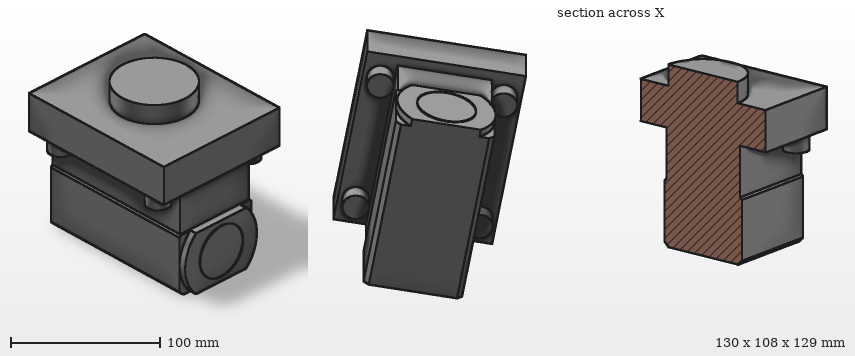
import cadquery as cq

plate_length = 130.0
plate_width = 108.0
plate_thickness = 30.0
plate_bottom = 84.0
plate_top = plate_bottom + plate_thickness
plate_left = -plate_length / 2

boss_diameter = 60.0
boss_height = 15.0

pin_diameter = 18.0
pin_length = 12.0
pin_spacing_x = 94.0
pin_spacing_y = 84.0

body_length = 124.0
body_width = 67.0
body_height = 48.0
top_chamfer = 1.5
bottom_chamfer = 3.5

neck_length = 123.0
neck_width = body_width - 2 * top_chamfer

cap_diameter = body_width
cap_thickness = 5.4
cap_face_diameter = 40.0
cap_face_thickness = plate_length - body_length - cap_thickness


def make_block(length, width, height, bottom):
    """Box flush with the left end of the plate and centred in Y."""
    block = cq.Workplane("XY").box(length, width, height, centered=(False, True, False))
    return block.translate((plate_left, 0, bottom))


def make_body():
    body = make_block(body_length, body_width, body_height, 0)
    body = body.faces(">Z").edges("|X").chamfer(top_chamfer)
    return body.faces("<Z").edges("|X").chamfer(bottom_chamfer)


def make_neck():
    return make_block(neck_length, neck_width, plate_bottom - body_height, body_height)


def make_plate():
    return make_block(plate_length, plate_width, plate_thickness, plate_bottom)


def make_boss():
    return cq.Workplane("XY", origin=(0, 0, plate_top)).circle(boss_diameter / 2).extrude(boss_height)


def make_pins():
    underside = cq.Workplane("XY", origin=(0, 0, plate_bottom))
    centres = underside.rarray(pin_spacing_x, pin_spacing_y, 2, 2)
    return centres.circle(pin_diameter / 2).extrude(-pin_length)


def make_end_cap():
    body_end = (plate_left + body_length, 0, body_height / 2)
    disc = cq.Workplane("YZ", origin=body_end).circle(cap_diameter / 2).extrude(cap_thickness)
    cap = disc.intersect(make_block(plate_length, body_width, body_height, 0))
    outer_face = cap.faces(">X").workplane(origin=body_end)
    return outer_face.circle(cap_face_diameter / 2).extrude(cap_face_thickness)


result = make_body().union(make_neck()).union(make_plate())
result = result.union(make_boss()).union(make_pins()).union(make_end_cap())